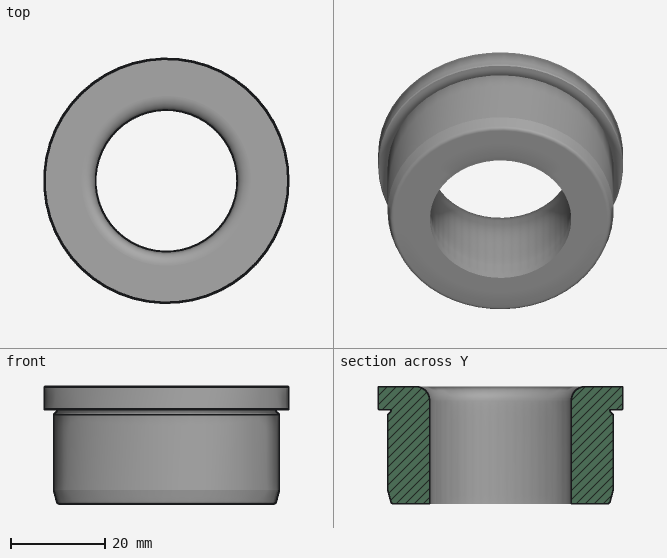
import cadquery as cq
import math

height = 25.0
flange_radius = 52 / 2
flange_thickness = 5.0
flange_chamfer = 0.2
body_radius = 48.0 / 2
bore_radius = 30.0 / 2
mouth_radius = 3.0

shoulder_size = 0.5
neck_height = 0.45

lead_in_height = 3.0
end_rounding = 0.8
taper_angle = 15

flange_bottom = height - flange_thickness
shoulder_top = flange_bottom - neck_height
body_top = shoulder_top - shoulder_size
shoulder_radius = body_radius - shoulder_size
neck_radius = shoulder_radius - neck_height * math.tan(math.radians(45 / 2))

taper_slope = math.radians(taper_angle)
taper_end_height = end_rounding * (1 - math.sin(taper_slope))
taper_end_radius = body_radius - (lead_in_height - taper_end_height) * math.tan(taper_slope)
end_face_radius = taper_end_radius - end_rounding * math.cos(taper_slope)

mouth_outer_radius = bore_radius + mouth_radius
mouth_bottom = height - mouth_radius
arc_middle = (
    mouth_outer_radius - mouth_radius * math.cos(math.radians(45)),
    mouth_bottom + mouth_radius * math.sin(math.radians(45)),
)

section = (
    cq.Workplane("XZ")
    .moveTo(bore_radius, 0)
    .lineTo(end_face_radius, 0)
    .tangentArcPoint((taper_end_radius, taper_end_height), relative=False)
    .lineTo(body_radius, lead_in_height)
    .lineTo(body_radius, body_top)
    .lineTo(shoulder_radius, shoulder_top)
    .tangentArcPoint((neck_radius, flange_bottom), relative=False)
    .lineTo(flange_radius - flange_chamfer, flange_bottom)
    .lineTo(flange_radius, flange_bottom + flange_chamfer)
    .lineTo(flange_radius, height - flange_chamfer)
    .lineTo(flange_radius - flange_chamfer, height)
    .lineTo(mouth_outer_radius, height)
    .threePointArc(arc_middle, (bore_radius, mouth_bottom))
    .close()
)

result = section.revolve(360, (0, 0, 0), (0, 1, 0))